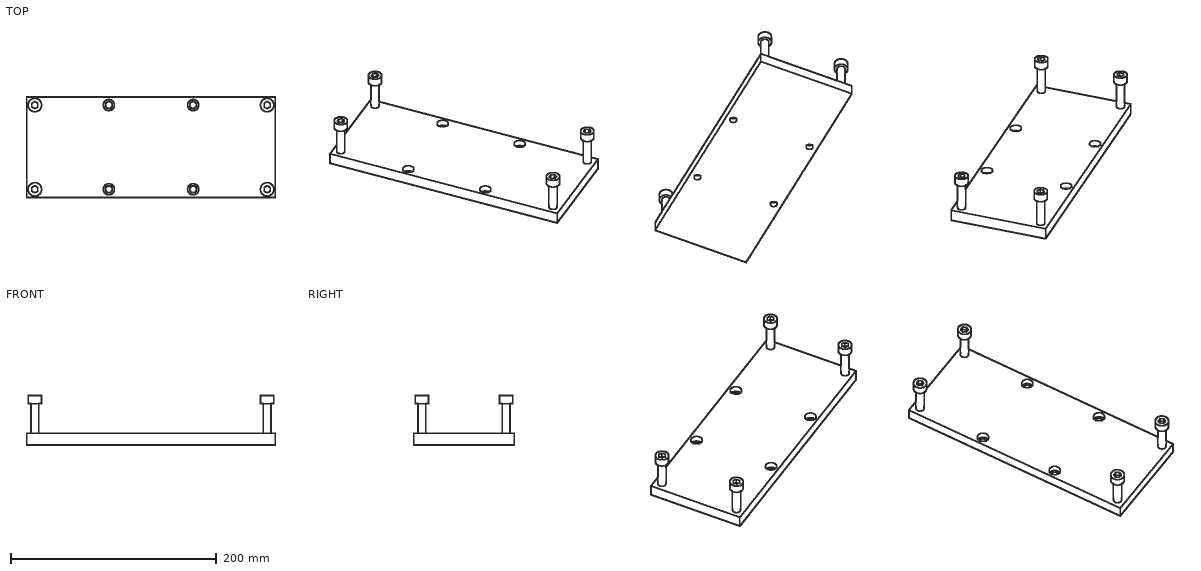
import cadquery as cq
import math

plate_length = 242.0
plate_width = 98.0
plate_thickness = 11.5
edge_distance = 8.0

overall_height = 48.5
shank_diameter = 8.0
head_diameter = 13.0
head_height = shank_diameter
socket_across_flats = 6.0
socket_depth = 4.0

hole_diameter = 6.5
counterbore_diameter = 11.0
counterbore_depth = 6.0

row_y = plate_width / 2 - edge_distance
screw_x = plate_length / 2 - edge_distance
hole_x = row_y


def four_corners(x, y):
    """Points mirrored about both centre lines of the plate."""
    return [(sx * x, sy * y) for sx in (-1, 1) for sy in (-1, 1)]


def make_plate():
    plate = cq.Workplane("XY").box(
        plate_length, plate_width, plate_thickness, centered=(True, True, False)
    )
    return (
        plate.faces(">Z")
        .workplane(origin=(0, 0, plate_thickness))
        .pushPoints(four_corners(hole_x, row_y))
        .cboreHole(hole_diameter, counterbore_diameter, counterbore_depth)
    )


def make_screw():
    """Screw on the Z axis, its shank starting at the top of the plate."""
    shank_length = overall_height - head_height - plate_thickness
    shank = (
        cq.Workplane("XY")
        .workplane(offset=plate_thickness)
        .circle(shank_diameter / 2)
        .extrude(shank_length)
    )
    head = (
        cq.Workplane("XY")
        .workplane(offset=overall_height - head_height)
        .circle(head_diameter / 2)
        .extrude(head_height)
    )
    socket_across_corners = socket_across_flats / math.cos(math.pi / 6)
    socket = (
        cq.Workplane("XY")
        .workplane(offset=overall_height - socket_depth)
        .transformed(rotate=(0, 0, 90))
        .polygon(6, socket_across_corners)
        .extrude(socket_depth)
    )
    return shank.union(head).cut(socket)


result = make_plate()
screw = make_screw()
for x, y in four_corners(screw_x, row_y):
    result = result.union(screw.translate((x, y, 0)))